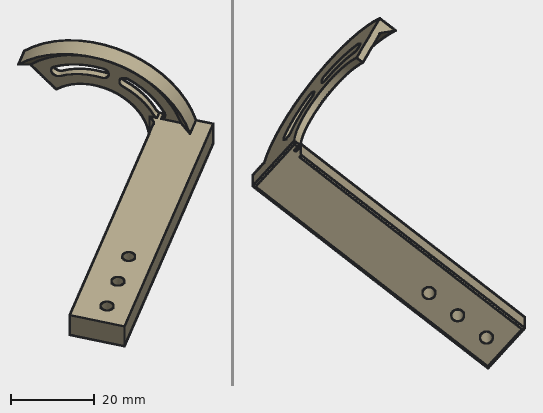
import cadquery as cq
import math


inner_radius = 13.5
outer_radius = 25.65
rim_inner_radius = 22.65
web_thickness = 2.0
rim_depth = web_thickness + outer_radius - rim_inner_radius
arc_end_angle = 135

slot_radius = 18.15
slot_width = 3.0
slot_span = 37.3
slot_start_angles = (27.8, 83.7)

arm_length = 73.5
arm_width = 13.7
arm_height = 7.05
arm_right = 28.95
arm_left = arm_right - arm_width
bottom_chamfer = 0.5

gusset_leg = 1.6

hole_diameter = 3.1
hole_count = 3
hole_spacing = 9.0
hole_end_distance = 5.6
hole_side_distance = 6.0


def polar(radius, angle):
    """Point at an angle in degrees around the arc centre."""
    return radius * math.cos(math.radians(angle)), radius * math.sin(math.radians(angle))


def make_flange():
    """Revolve the web and its flared rim from the foot to the slanted end."""
    profile = (
        cq.Workplane("XY")
        .moveTo(inner_radius, 0)
        .lineTo(outer_radius, 0)
        .lineTo(outer_radius, -rim_depth)
        .lineTo(rim_inner_radius, -web_thickness)
        .lineTo(inner_radius, -web_thickness)
        .close()
    )
    return profile.revolve(arc_end_angle, (0, 0, 0), (0, -1, 0))


def make_slot(start_angle):
    """Round-ended slot that follows the flange arc."""
    end_angle = start_angle + slot_span
    mid_angle = start_angle + slot_span / 2
    slot_inner = slot_radius - slot_width / 2
    slot_outer = slot_radius + slot_width / 2
    cap_angle = math.degrees(slot_width / 2 / slot_radius)
    return (
        cq.Workplane("XZ")
        .moveTo(*polar(slot_outer, start_angle))
        .threePointArc(polar(slot_outer, mid_angle), polar(slot_outer, end_angle))
        .threePointArc(polar(slot_radius, end_angle + cap_angle), polar(slot_inner, end_angle))
        .threePointArc(polar(slot_inner, mid_angle), polar(slot_inner, start_angle))
        .threePointArc(polar(slot_radius, start_angle - cap_angle), polar(slot_outer, start_angle))
        .close()
        .extrude(web_thickness)
    )


def make_arm():
    """Rectangular bar running forward from the back face."""
    return cq.Workplane("XY").box(arm_width, arm_length, arm_height, centered=False).translate(
        (arm_left, -arm_length, 0)
    )


def make_gusset():
    """Triangular corner fill at the front of the web, as tall as the arm."""
    return (
        cq.Workplane("XY")
        .moveTo(arm_left, -web_thickness)
        .lineTo(arm_left - gusset_leg, -web_thickness)
        .lineTo(arm_left, -web_thickness - gusset_leg)
        .lineTo(arm_left + bottom_chamfer, -web_thickness - gusset_leg)
        .lineTo(arm_left + bottom_chamfer, -web_thickness + bottom_chamfer)
        .lineTo(arm_left, -web_thickness + bottom_chamfer)
        .close()
        .extrude(arm_height)
    )


def make_holes():
    """Row of vertical through holes near the free end of the arm."""
    centres = [
        (arm_right - hole_side_distance, -arm_length + hole_end_distance + i * hole_spacing)
        for i in range(hole_count)
    ]
    return cq.Workplane("XY").pushPoints(centres).circle(hole_diameter / 2).extrude(arm_height)


flange = make_flange()
for slot_start in slot_start_angles:
    flange = flange.cut(make_slot(slot_start))

body = flange.union(make_arm()).faces("<Z").edges().chamfer(bottom_chamfer)
result = body.union(make_gusset()).cut(make_holes())